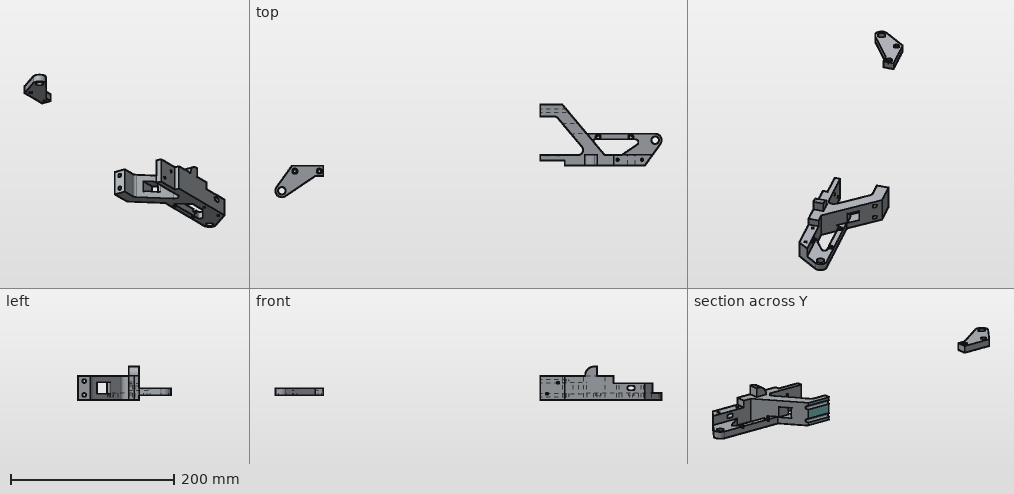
import cadquery as cq
import math


WALL_THICK = 13.0
EYE_RADIUS = 8.0
EYE_BORE_DIA = 9.0
EYE_OFFSET_Y = 31.0
HINGE_THICK = 9.0
CORNER_FROM_TIP = 20.5
LEG_FROM_TIP = 49.0
SCREWS_FROM_TIP = (24.0, 54.0)
SCREW_Y = 7.0
SCREW_HOLE_DIA = 4.0
COUNTERBORE_DIA = 6.8
COUNTERBORE_DEPTH = 3.0

FRAME_LENGTH = 149.0
FRAME_DEPTH = 75.0
FRAME_HEIGHT = 30.0
TAB_LENGTH = 30.0
TAB_FRONT_Y = 6.0
TAB_HOLE_DIA = 2.8
TAB_HOLES = ((8.4, 8.0), (22.0, 21.5))
LOW_WALL_START_X = 90.0
LOW_WALL_HEIGHT = 21.0
WALL_SCREW_DIA = 2.8

ARM_THICK = 15.0
ARM_ANGLE = math.radians(50.0)
PAD_BACK_LENGTH = 27.0
PAD_HOLE_DIA = 4.4
PAD_HOLE_SPACING = 17.0
BEND_RADIUS = 6.0
CROTCH_RADIUS = 6.0

TOOTH_START_X = 55.0
TOOTH_END_X = 70.0
TOOTH_RADIUS = 11.5

BAR_WIDTH = 7.0
BAR_HOLE_Y = 34.5
BAR_HOLES_FROM_TIP = (37.8, 77.8)
OPENING_TIP_RADIUS = 3.5
OPENING_ARM_RADIUS = 2.0

WINDOW_Y = (39.5, 51.5)
WINDOW_HEIGHT = 13.5
WINDOW_LIP_RADIUS = 2.5

SLOT_LENGTH = 9.0
SLOT_HEIGHT = 5.0
SLOT_FROM_TIP = 37.5

LINK_LENGTH = 59.0
LINK_TIP_X = -324.5
LINK_BOTTOM_Z = 6.0

MID_Z = FRAME_HEIGHT / 2
PAD_FRONT_Y = FRAME_DEPTH - ARM_THICK
EYE_X = FRAME_LENGTH - EYE_RADIUS
BAR_BACK_Y = EYE_OFFSET_Y + EYE_RADIUS
BAR_FRONT_Y = BAR_BACK_Y - BAR_WIDTH


def eye_tangent(from_tip, start_y, side):
    """Distance from the tip and Y where a line from the given foot touches the hinge eye.

    side is 1 for the outer edge of the hinge arm and -1 for the inner edge.
    """
    dx = EYE_RADIUS - from_tip
    dy = EYE_OFFSET_Y - start_y
    distance = math.hypot(dx, dy)
    heading = math.atan2(dy, dx) + side * math.asin(EYE_RADIUS / distance)
    reach = math.sqrt(distance**2 - EYE_RADIUS**2)
    return from_tip + reach * math.cos(heading), start_y + reach * math.sin(heading)


OUTER_TANGENT = eye_tangent(CORNER_FROM_TIP, 0, 1)
INNER_TANGENT = eye_tangent(LEG_FROM_TIP, WALL_THICK, -1)


def outer_edge_x(y):
    """X of the frame's outer sloping hinge edge at a given Y."""
    touch, touch_y = OUTER_TANGENT
    return FRAME_LENGTH - CORNER_FROM_TIP + (CORNER_FROM_TIP - touch) * y / touch_y


def inner_edge_x(y):
    """X of the frame's inner sloping hinge edge at a given Y."""
    touch, touch_y = INNER_TANGENT
    rise = (y - WALL_THICK) / (touch_y - WALL_THICK)
    return FRAME_LENGTH - LEG_FROM_TIP + (LEG_FROM_TIP - touch) * rise


def arm_back_x(y):
    """X of the arm's back face at a given Y."""
    return PAD_BACK_LENGTH + (FRAME_DEPTH - y) / math.tan(ARM_ANGLE)


def arm_front_x(y):
    """X of the arm's front face at a given Y."""
    return arm_back_x(y) - ARM_THICK / math.sin(ARM_ANGLE)


def box(x_range, y_range, z_range):
    """Box between the given lower and upper bounds."""
    starts, ends = zip(x_range, y_range, z_range)
    sizes = [end - start for start, end in zip(starts, ends)]
    return cq.Workplane("XY").box(*sizes, centered=False).translate(starts)


def round_upright_edge(body, x, y, radius):
    """Fillet the vertical edge that stands at (x, y)."""
    reach = 0.1
    near = cq.selectors.BoxSelector(
        (x - reach, y - reach, 0), (x + reach, y + reach, FRAME_HEIGHT)
    )
    return body.edges("|Z").edges(near).fillet(radius)


def upright_holes(points, diameter, bottom, top):
    """Vertical cylinders at the given X, Y points."""
    plane = cq.Workplane("XY", origin=(0, 0, bottom))
    return plane.pushPoints(points).circle(diameter / 2).extrude(top - bottom)


def make_wall_and_arm():
    """Full-height body of the frame: tab, wall, slanted arm and end pad."""
    crotch = (arm_front_x(WALL_THICK), WALL_THICK)
    bend = (arm_front_x(PAD_FRONT_Y), PAD_FRONT_Y)
    outline = [
        (0, TAB_FRONT_Y),
        (TAB_LENGTH, TAB_FRONT_Y),
        (TAB_LENGTH, 0),
        (outer_edge_x(0), 0),
        (outer_edge_x(WALL_THICK), WALL_THICK),
        (arm_back_x(WALL_THICK), WALL_THICK),
        (PAD_BACK_LENGTH, FRAME_DEPTH),
        (0, FRAME_DEPTH),
        (0, PAD_FRONT_Y),
        bend,
        crotch,
        (0, WALL_THICK),
    ]
    body = cq.Workplane("XY").polyline(outline).close().extrude(FRAME_HEIGHT)
    body = round_upright_edge(body, *bend, BEND_RADIUS)
    body = round_upright_edge(body, *crotch, CROTCH_RADIUS)
    step = box(
        (LOW_WALL_START_X, FRAME_LENGTH), (0, WALL_THICK), (LOW_WALL_HEIGHT, FRAME_HEIGHT)
    )
    return body.cut(step)


def cut_window(body):
    """Cut the window along X through the arm and round its sharp front lip."""
    window_z = (MID_Z - WINDOW_HEIGHT / 2, MID_Z + WINDOW_HEIGHT / 2)
    body = body.cut(box((0, FRAME_LENGTH), WINDOW_Y, window_z))
    lip_y = WINDOW_Y[0]
    return round_upright_edge(body, arm_front_x(lip_y), lip_y, WINDOW_LIP_RADIUS)


def make_tooth():
    """Quarter-round tooth on top of the wall."""
    center_x = TOOTH_START_X + TOOTH_RADIUS
    top = FRAME_HEIGHT + TOOTH_RADIUS
    diagonal = TOOTH_RADIUS * math.sqrt(0.5)
    return (
        cq.Workplane("XZ")
        .moveTo(TOOTH_START_X, FRAME_HEIGHT)
        .threePointArc((center_x - diagonal, FRAME_HEIGHT + diagonal), (center_x, top))
        .lineTo(TOOTH_END_X, top)
        .lineTo(TOOTH_END_X, FRAME_HEIGHT)
        .close()
        .extrude(-WALL_THICK)
    )


def make_plate_opening():
    """Opening between the arm, the wall, the bar and the inner sloping edge."""
    tip_corner = (inner_edge_x(BAR_FRONT_Y), BAR_FRONT_Y)
    arm_corner = (arm_back_x(BAR_FRONT_Y), BAR_FRONT_Y)
    outline = [
        (arm_back_x(WALL_THICK), WALL_THICK),
        (inner_edge_x(WALL_THICK), WALL_THICK),
        tip_corner,
        arm_corner,
    ]
    opening = cq.Workplane("XY").polyline(outline).close().extrude(HINGE_THICK)
    opening = round_upright_edge(opening, *tip_corner, OPENING_TIP_RADIUS)
    return round_upright_edge(opening, *arm_corner, OPENING_ARM_RADIUS)


def make_hinge_plate():
    """Low plate behind the wall, with the hinge eye, the back bar and the opening."""
    touch_x = FRAME_LENGTH - OUTER_TANGENT[0]
    touch_y = OUTER_TANGENT[1]
    plate = (
        cq.Workplane("XY")
        .moveTo(outer_edge_x(0), 0)
        .lineTo(touch_x, touch_y)
        .threePointArc((FRAME_LENGTH, EYE_OFFSET_Y), (EYE_X, BAR_BACK_Y))
        .lineTo(arm_back_x(BAR_BACK_Y), BAR_BACK_Y)
        .lineTo(arm_back_x(0), 0)
        .close()
        .extrude(HINGE_THICK)
    )
    return plate.cut(make_plate_opening())


def cut_frame_holes(body):
    """Cut the hinge bore, screw holes, pad holes, tab holes and wall slot."""
    bar_points = [(FRAME_LENGTH - distance, BAR_HOLE_Y) for distance in BAR_HOLES_FROM_TIP]
    wall_points = [(FRAME_LENGTH - distance, SCREW_Y) for distance in SCREWS_FROM_TIP]
    counterbore_floor = HINGE_THICK - COUNTERBORE_DEPTH
    body = body.cut(upright_holes([(EYE_X, EYE_OFFSET_Y)], EYE_BORE_DIA, 0, HINGE_THICK))
    body = body.cut(upright_holes(bar_points, SCREW_HOLE_DIA, 0, HINGE_THICK))
    body = body.cut(upright_holes(bar_points, COUNTERBORE_DIA, counterbore_floor, HINGE_THICK))
    body = body.cut(upright_holes(wall_points, WALL_SCREW_DIA, 0, LOW_WALL_HEIGHT))

    pad_holes = (
        cq.Workplane("YZ", origin=(0, FRAME_DEPTH - ARM_THICK / 2, MID_Z))
        .rarray(1, PAD_HOLE_SPACING, 1, 2)
        .circle(PAD_HOLE_DIA / 2)
        .extrude(FRAME_LENGTH)
    )
    tab_holes = (
        cq.Workplane("XZ").pushPoints(TAB_HOLES).circle(TAB_HOLE_DIA / 2).extrude(-WALL_THICK)
    )
    slot = (
        cq.Workplane("XZ")
        .center(FRAME_LENGTH - SLOT_FROM_TIP, MID_Z)
        .slot2D(SLOT_LENGTH, SLOT_HEIGHT)
        .extrude(-WALL_THICK)
    )
    return body.cut(pad_holes).cut(tab_holes).cut(slot)


def make_frame():
    body = cut_window(make_wall_and_arm())
    body = body.union(make_tooth()).union(make_hinge_plate())
    return cut_frame_holes(body)


def make_link():
    """Separate hinge link: an eye joined to a straight end with two counterbored screws."""
    outer_touch, outer_y = OUTER_TANGENT
    inner_touch, inner_y = INNER_TANGENT
    eye_bottom = (EYE_RADIUS, -EYE_OFFSET_Y - EYE_RADIUS)
    screw_points = [(distance, -SCREW_Y) for distance in SCREWS_FROM_TIP]
    counterbore_floor = HINGE_THICK - COUNTERBORE_DEPTH
    link = (
        cq.Workplane("XY")
        .moveTo(CORNER_FROM_TIP, 0)
        .lineTo(outer_touch, -outer_y)
        .threePointArc(eye_bottom, (inner_touch, -inner_y))
        .lineTo(LEG_FROM_TIP, -WALL_THICK)
        .lineTo(LINK_LENGTH, -WALL_THICK)
        .lineTo(LINK_LENGTH, 0)
        .close()
        .extrude(HINGE_THICK)
    )
    link = link.cut(upright_holes([(EYE_RADIUS, -EYE_OFFSET_Y)], EYE_BORE_DIA, 0, HINGE_THICK))
    link = link.cut(upright_holes(screw_points, SCREW_HOLE_DIA, 0, HINGE_THICK))
    link = link.cut(upright_holes(screw_points, COUNTERBORE_DIA, counterbore_floor, HINGE_THICK))
    return link.translate((LINK_TIP_X, 0, LINK_BOTTOM_Z))


frame = make_frame()
link = make_link()
result = cq.Compound.makeCompound([frame.solids().val(), link.solids().val()])